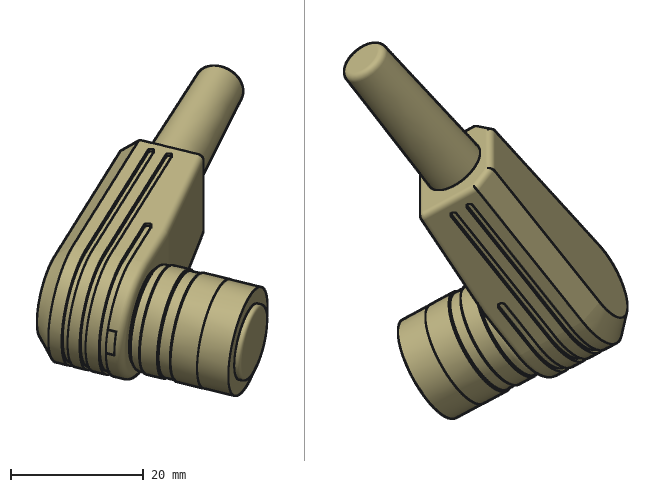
import cadquery as cq
import math


housing_radius = 9.95
housing_width = 15.0
housing_end_y = 29.65
taper = math.radians(4)
back_chamfer = 2.95
end_rounding = 0.95
shoulder_rounding = 1.0
shoulder_bend_y = 9.5
shoulder_end_x = 13.3

groove_depth = 0.5
grooves = [(5.1, 0.95, 27.65), (8.0, 0.95, 27.65), (11.05, 1.15, 10.15)]

pad_start_x = grooves[-1][0] + grooves[-1][1]
pad_width = 1.35
pad_height = 4.0
pad_lift = 0.05

overall_length = 64.3
boot_center_x = 6.75
boot_tip_y = overall_length - housing_radius - pad_lift
boot_tip_diameter = 7.6
boot_base_diameter = 9.65
boot_tip_rounding = 1.0
boot_embed = 1.9

neck_diameter = 14.9
nut_start_x = 15.3
nut_diameter = 17.0
nut_relief_diameter = 16.6
nut_front_diameter = 16.9
nut_rounding = 0.8
nut_edge = 0.2
grip_start_x = 16.9
grip_end_x = 20.05
sleeve_start_x = 21.85
sleeve_step_x = 26.3
nut_end_x = 31.3
insert_diameter = 11.8
insert_end_x = 32.35
insert_rounding = 0.45


def teardrop(inset):
    """Round end and two tapered sides, moved inwards by inset; drawn in the YZ plane."""
    radius = housing_radius - inset
    tangent_y = radius * math.sin(taper)
    tangent_z = radius * math.cos(taper)
    end_z = tangent_z - (housing_end_y - tangent_y) * math.tan(taper)
    return (
        cq.Workplane("YZ")
        .moveTo(housing_end_y, -end_z)
        .lineTo(tangent_y, -tangent_z)
        .threePointArc((-radius, 0), (tangent_y, tangent_z))
        .lineTo(housing_end_y, end_z)
        .close()
    )


def housing_blank():
    body = teardrop(0).extrude(housing_width)
    shoulder = (
        cq.Workplane("XY")
        .moveTo(housing_width, shoulder_bend_y)
        .lineTo(shoulder_end_x, housing_end_y)
        .lineTo(housing_width, housing_end_y)
        .close()
        .extrude(housing_radius, both=True)
    )
    body = body.cut(shoulder)
    chamfer_limit_y = housing_end_y - end_rounding
    back_edges = body.faces("<X").edges().filter(lambda edge: edge.Center().y < chamfer_limit_y)
    return back_edges.chamfer(back_chamfer)


def groove_cutter(start_x, width, end_y):
    """Ring outside the inset teardrop, limited to a round-ended strip."""
    radius = width / 2
    reach = 2 * housing_radius
    strip = (
        cq.Workplane("XY")
        .moveTo(start_x, -reach)
        .lineTo(start_x, end_y - radius)
        .threePointArc((start_x + radius, end_y), (start_x + width, end_y - radius))
        .lineTo(start_x + width, -reach)
        .close()
        .extrude(reach, both=True)
    )
    return strip.cut(teardrop(groove_depth).extrude(housing_width))


def index_pad():
    outer = housing_radius + pad_lift
    ring = cq.Workplane("YZ").workplane(offset=pad_start_x).circle(outer).extrude(pad_width)
    keep = cq.Workplane("XY").box(pad_start_x + pad_width, outer, pad_height, centered=False)
    keep = keep.translate((0, -outer, 0))
    return ring.intersect(keep)


def cable_boot():
    base_y = housing_end_y - boot_embed
    boot = (
        cq.Workplane("XY")
        .moveTo(boot_center_x, base_y)
        .lineTo(boot_center_x + boot_base_diameter / 2, base_y)
        .lineTo(boot_center_x + boot_tip_diameter / 2, boot_tip_y)
        .lineTo(boot_center_x, boot_tip_y)
        .close()
        .revolve(360, (boot_center_x, 0), (boot_center_x, 1))
    )
    return boot.faces(">Y").edges().fillet(boot_tip_rounding)


def disc(start_x, end_x, diameter):
    return cq.Workplane("YZ").workplane(offset=start_x).circle(diameter / 2).extrude(end_x - start_x)


def coupling_nut():
    neck_start_x = housing_width - shoulder_rounding
    neck = disc(neck_start_x, nut_end_x, neck_diameter)
    core = disc(nut_start_x, nut_end_x, nut_relief_diameter).faces("<X").edges().fillet(nut_rounding)
    grip = disc(grip_start_x, grip_end_x, nut_diameter).edges().chamfer(nut_edge)
    sleeve = disc(sleeve_start_x, sleeve_step_x, nut_diameter).faces("<X").edges().chamfer(nut_edge)
    front = disc(sleeve_step_x, nut_end_x, nut_front_diameter)
    insert = disc(nut_end_x, insert_end_x, insert_diameter).faces(">X").edges().fillet(insert_rounding)
    return neck.union(core).union(grip).union(sleeve).union(front).union(insert)


def housing():
    body = housing_blank()
    rim = body.edges("not |Z").filter(lambda edge: edge.Center().x > shoulder_end_x)
    body = rim.fillet(shoulder_rounding)
    body = body.faces(">Y").edges().fillet(end_rounding)
    for start_x, width, end_y in grooves:
        body = body.cut(groove_cutter(start_x, width, end_y))
    return body


result = housing().union(index_pad()).union(cable_boot()).union(coupling_nut())